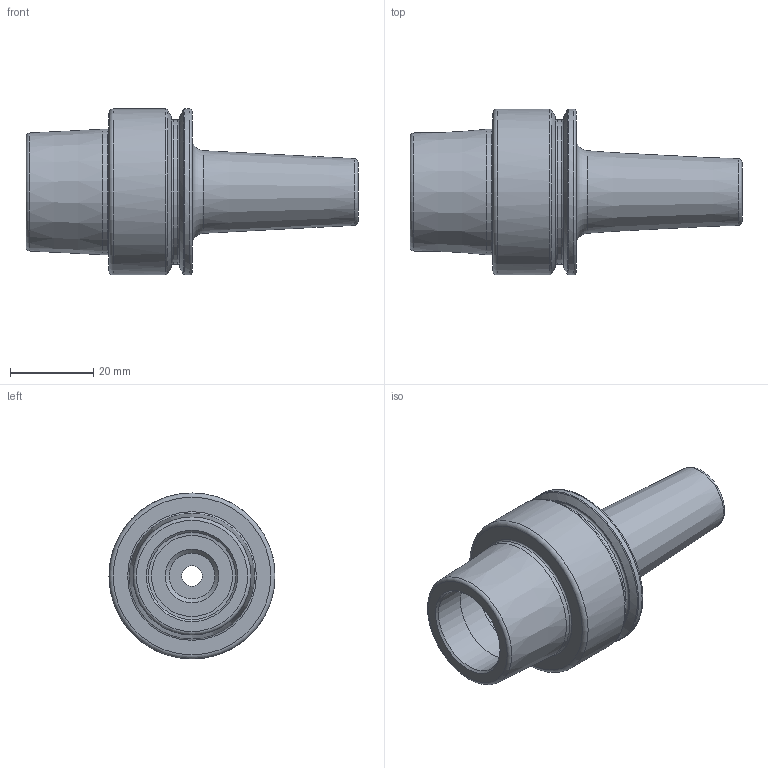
import cadquery as cq
import math


flange_dia = 40.0
flange_width = 20.0
flange_face_fillet = 1.0
flange_rear_fillet = 0.6

groove_center_x = 16.0
groove_slot_width = 2.0
groove_mouth_width = 4.1
groove_bottom_dia = 34.8
groove_flank_angle = 60.0
groove_front_fillet = 0.6
groove_rear_fillet = 0.3
groove_floor_fillet = 0.5

shank_length = 20.0
shank_base_dia = 30.21
shank_collar_width = 1.5
shank_taper_ratio = 9.98
shank_end_fillet = 0.8
shank_root_fillet = 0.4

nose_length = 40.0
nose_end_dia = 16.0
nose_half_angle = 3.0
nose_root_fillet = 3.0
nose_end_fillet = 1.0

bore_dia = 21.0
bore_mouth_chamfer = 0.5
bore_lip_length = 8.0
cavity_dia = 25.5
cavity_shoulder_angle = 60.0
cavity_depth = 19.0
cavity_floor_fillet = 3.0

counterbore_mouth_dia = 13.0
counterbore_dia = 11.0
counterbore_depth = 10.0
through_hole_dia = 5.0

cavity_floor_x = cavity_depth - shank_length
nose_end_x = flange_width + nose_length


def revolve_profile(points):
    """Solid of revolution about X from (x, radius) points."""
    return cq.Workplane("XZ").polyline(points).close().revolve(360, (0, 0, 0), (1, 0, 0))


def fillet_circle(body, x, radius, fillet_radius):
    """Round the circular edge lying at the given x and radius."""
    tolerance = 0.01
    edges = [
        edge
        for edge in body.edges("%CIRCLE").vals()
        if abs(edge.Center().x - x) < tolerance and abs(edge.radius() - radius) < tolerance
    ]
    return body.newObject(edges).fillet(fillet_radius)


def make_outside():
    """Shank, flange with gripper groove, and nose."""
    flange_radius = flange_dia / 2
    groove_radius = groove_bottom_dia / 2
    base_radius = shank_base_dia / 2
    taper_length = shank_length - shank_collar_width
    shank_end_radius = base_radius - taper_length / (2 * shank_taper_ratio)

    mouth_half = groove_mouth_width / 2
    slot_half = groove_slot_width / 2
    flank_drop = (mouth_half - slot_half) * math.tan(math.radians(groove_flank_angle))
    slot_radius = flange_radius - flank_drop
    mouth_front = groove_center_x - mouth_half
    mouth_rear = groove_center_x + mouth_half
    slot_front = groove_center_x - slot_half
    slot_rear = groove_center_x + slot_half

    nose_end_radius = nose_end_dia / 2
    nose_root_radius = nose_end_radius + nose_length * math.tan(math.radians(nose_half_angle))

    body = revolve_profile([
        (-shank_length, 0),
        (-shank_length, shank_end_radius),
        (-shank_collar_width, base_radius),
        (0, base_radius),
        (0, flange_radius),
        (mouth_front, flange_radius),
        (slot_front, slot_radius),
        (slot_front, groove_radius),
        (slot_rear, groove_radius),
        (slot_rear, slot_radius),
        (mouth_rear, flange_radius),
        (flange_width, flange_radius),
        (flange_width, nose_root_radius),
        (nose_end_x, nose_end_radius),
        (nose_end_x, 0),
    ])
    rounded_edges = [
        (-shank_length, shank_end_radius, shank_end_fillet),
        (0, base_radius, shank_root_fillet),
        (0, flange_radius, flange_face_fillet),
        (mouth_front, flange_radius, groove_front_fillet),
        (mouth_rear, flange_radius, groove_rear_fillet),
        (slot_front, groove_radius, groove_floor_fillet),
        (slot_rear, groove_radius, groove_floor_fillet),
        (flange_width, flange_radius, flange_rear_fillet),
        (flange_width, nose_root_radius, nose_root_fillet),
        (nose_end_x, nose_end_radius, nose_end_fillet),
    ]
    for x, radius, fillet_radius in rounded_edges:
        body = fillet_circle(body, x, radius, fillet_radius)
    return body


def make_shank_bore():
    """Bore with chamfered mouth, widening behind a conical shoulder to the cavity."""
    bore_radius = bore_dia / 2
    cavity_radius = cavity_dia / 2
    shoulder_length = (cavity_radius - bore_radius) / math.tan(math.radians(cavity_shoulder_angle))
    mouth_x = -shank_length
    lip_x = mouth_x + bore_lip_length
    bore = revolve_profile([
        (mouth_x, 0),
        (mouth_x, bore_radius + bore_mouth_chamfer),
        (mouth_x + bore_mouth_chamfer, bore_radius),
        (lip_x, bore_radius),
        (lip_x + shoulder_length, cavity_radius),
        (cavity_floor_x, cavity_radius),
        (cavity_floor_x, 0),
    ])
    return fillet_circle(bore, cavity_floor_x, cavity_radius, cavity_floor_fillet)


def make_center_holes():
    """Counterbore with a 45 degree mouth in the cavity floor, and the through hole."""
    mouth_radius = counterbore_mouth_dia / 2
    counterbore_radius = counterbore_dia / 2
    hole_radius = through_hole_dia / 2
    counterbore_x = cavity_floor_x + counterbore_depth
    return revolve_profile([
        (cavity_floor_x, 0),
        (cavity_floor_x, mouth_radius),
        (cavity_floor_x + mouth_radius - counterbore_radius, counterbore_radius),
        (counterbore_x, counterbore_radius),
        (counterbore_x, hole_radius),
        (nose_end_x, hole_radius),
        (nose_end_x, 0),
    ])


result = make_outside().cut(make_shank_bore()).cut(make_center_holes())